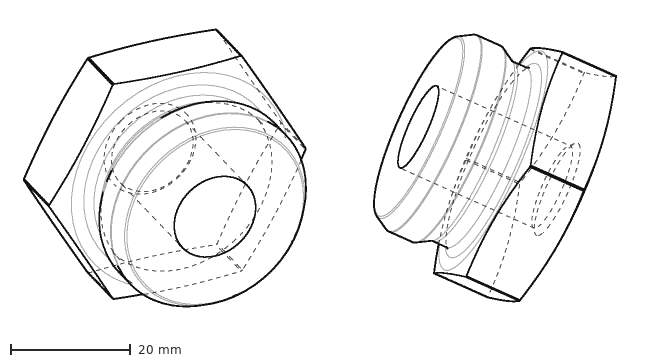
import cadquery as cq
import math

length = 26.0
hex_thickness = 12.0
across_flats = 41.0
corner_diameter = 47.2
face_diameter = 40.0
hex_chamfer_angle = 15.0

neck_diameter = 32.9
collar_diameter = 36.0
cone_angle = 30.0
collar_start = 18.85
collar_end = 23.35
neck_fillet = 1.27
cone_fillet = 1.3
collar_edge_round = 0.4

bore_diameter = 15.0
bore_mouth_diameter = 16.9


def revolve_about_x(profile):
    """Turn a closed XY outline around the X axis."""
    return profile.close().revolve(360, (0, 0, 0), (1, 0, 0))


def make_hex_head():
    """Hexagon with flats facing +Z and -Z, its corners turned down and chamfered."""
    corner_to_corner = across_flats / math.cos(math.radians(30))
    prism = cq.Workplane("YZ").polygon(6, corner_to_corner).extrude(hex_thickness)
    face_radius = face_diameter / 2
    corner_radius = corner_diameter / 2
    chamfer = (corner_radius - face_radius) * math.tan(math.radians(hex_chamfer_angle))
    envelope = revolve_about_x(
        cq.Workplane("XY")
        .moveTo(0, 0)
        .lineTo(0, face_radius)
        .lineTo(chamfer, corner_radius)
        .lineTo(hex_thickness - chamfer, corner_radius)
        .lineTo(hex_thickness, face_radius)
        .lineTo(hex_thickness, 0)
    )
    return prism.intersect(envelope)


def make_plug():
    """Neck flared into the hexagon, then a collar between two cones."""
    neck_radius = neck_diameter / 2
    collar_radius = collar_diameter / 2
    slope = math.tan(math.radians(cone_angle))
    cone_start = collar_start - (collar_radius - neck_radius) / slope
    tip_radius = collar_radius - (length - collar_end) * slope

    tangent_length = cone_fillet * math.tan(math.radians(cone_angle / 2))
    blend_start = cone_start - tangent_length
    blend_end_x = cone_start + tangent_length * math.cos(math.radians(cone_angle))
    blend_end_radius = neck_radius + tangent_length * math.sin(math.radians(cone_angle))

    plug = revolve_about_x(
        cq.Workplane("XY")
        .moveTo(hex_thickness, 0)
        .lineTo(hex_thickness, neck_radius + neck_fillet)
        .radiusArc((hex_thickness + neck_fillet, neck_radius), -neck_fillet)
        .lineTo(blend_start, neck_radius)
        .radiusArc((blend_end_x, blend_end_radius), -cone_fillet)
        .lineTo(collar_start, collar_radius)
        .lineTo(collar_end, collar_radius)
        .lineTo(length, tip_radius)
        .lineTo(length, 0)
    )

    edge_margin = 0.05
    box_width = 2 * collar_diameter
    rounded_edges = cq.selectors.BoxSelector(
        (collar_start - edge_margin, -box_width, -box_width),
        (length + edge_margin, box_width, box_width),
    )
    return plug.edges("%CIRCLE").edges(rounded_edges).fillet(collar_edge_round)


def make_bore():
    """Through bore with a 45 degree chamfer at the hexagon face."""
    bore_radius = bore_diameter / 2
    mouth_radius = bore_mouth_diameter / 2
    return revolve_about_x(
        cq.Workplane("XY")
        .moveTo(0, 0)
        .lineTo(0, mouth_radius)
        .lineTo(mouth_radius - bore_radius, bore_radius)
        .lineTo(length, bore_radius)
        .lineTo(length, 0)
    )


result = make_hex_head().union(make_plug()).cut(make_bore())